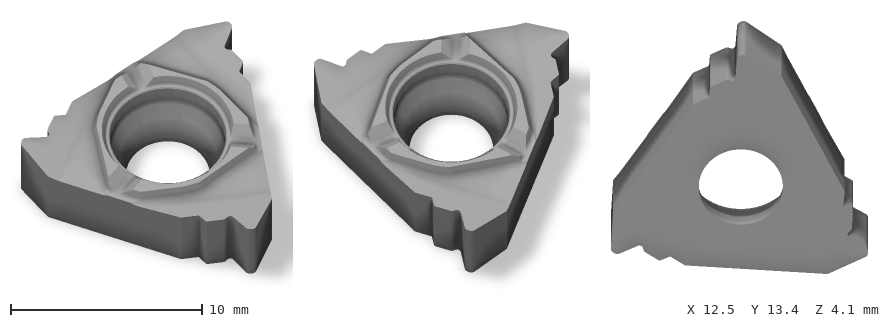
import cadquery as cq
import math

CORNERS = 3
CORNER_STEP = 360 / CORNERS

top_z = 4.1
floor_z = 3.52
ledge_z = 3.61

inscribed_radius = 9.525 / 2
flank_angle = 59.3

flank_start_y = 4.87
tip_y = 6.89
tip_width = 0.39
tip_radius = 0.27
crest_y = 5.945
groove_bottom_y = 5.62
groove_crest_x = -2.13
step_crest_x = -1.122
step_y = 5.426
groove_radius = 0.20
groove_crest_radius = 0.30
crest_radius = 0.10

ramp_start_y = 4.285
ramp_angle = 10
ramp_blend_length = 0.036

wall_draft = 23
boss_radius = 3.74
boss_side_distance = 3.63
boss_side_angle = 122.1
boss_foot_radius = 0.33
boss_kink_radius = 0.4

trim_distance = 4.25
small_foot_radius = 0.2

notch_angle = 45.8
notch_half_top = 0.75
notch_half_floor = 0.125
notch_blend_radius = 0.29

rim_radius = 3.455
seat_top_radius = 3.05
seat_bottom_radius = 2.99
seat_bottom_z = 2.64
bowl_radius = 2.87
bowl_z = 2.36
bore_z = 0.3
bore_radius = 2.2

reach = 9.0
notch_start = 2.5
pick_half_width = 8.0
pick_tolerance = 0.01


def turned(shape, index):
    """Copy of a shape moved to another corner of the insert."""
    return shape.rotate((0, 0, 0), (0, 0, 1), index * CORNER_STEP)


def turned_point(point, index):
    """(x, y) moved to another corner of the insert."""
    angle = math.radians(index * CORNER_STEP)
    x, y = point
    return (x * math.cos(angle) - y * math.sin(angle), x * math.sin(angle) + y * math.cos(angle))


def tooth_profile():
    """Sharp corner points of one tooth, clockwise, each with its rounding radius."""
    slope = math.tan(math.radians(flank_angle))
    tip_left_x = -inscribed_radius + (tip_y - flank_start_y) / slope
    tip_right_x = tip_left_x + tip_width
    groove_x = tip_right_x + (tip_y - groove_bottom_y) / slope
    step_x = step_crest_x + (crest_y - step_y) / slope
    side_angle = math.radians(180 / CORNERS)
    step_end_x = (inscribed_radius - step_y * math.sin(side_angle)) / math.cos(side_angle)
    return [
        ((-inscribed_radius, flank_start_y), 0),
        ((tip_left_x, tip_y), tip_radius),
        ((tip_right_x, tip_y), tip_radius),
        ((groove_x, groove_bottom_y), groove_radius),
        ((groove_crest_x, crest_y), groove_crest_radius),
        ((step_crest_x, crest_y), crest_radius),
        ((step_x, step_y), crest_radius),
        ((step_end_x, step_y), 0),
    ]


def make_prism():
    """Upright body with the three toothed corners; later corners follow clockwise."""
    corners = []
    for index in range(CORNERS):
        for point, radius in tooth_profile():
            corners.append((turned_point(point, -index), radius))
    prism = cq.Workplane("XY").polyline([point for point, _ in corners]).close().extrude(top_z)
    for (x, y), radius in corners:
        if radius > 0:
            edge = cq.selectors.NearestToPointSelector((x, y, top_z / 2))
            prism = prism.edges("|Z").edges(edge).fillet(radius)
    return prism


def make_boss():
    """Six-sided drafted boss standing on oversize floor stock, with a filleted foot."""
    spread = (top_z - floor_z) * math.tan(math.radians(wall_draft))
    radius = boss_radius + spread
    side_distance = boss_side_distance + spread
    side_angle = math.radians(boss_side_angle)

    kink_angle = side_angle - math.acos(side_distance / radius)
    mid_angle = (math.pi / 2 + kink_angle) / 2
    kink = (radius * math.cos(kink_angle), radius * math.sin(kink_angle))
    middle = (radius * math.cos(mid_angle), radius * math.sin(mid_angle))

    side_at_next = side_angle - math.radians(CORNER_STEP)
    sharp = ((side_distance - radius * math.sin(side_at_next)) / math.cos(side_at_next), radius)

    outline = cq.Workplane("XY").workplane(offset=floor_z).moveTo(*sharp)
    for index in range(CORNERS):
        outline = outline.lineTo(*turned_point((0, radius), index))
        outline = outline.threePointArc(turned_point(middle, index), turned_point(kink, index))
        if index < CORNERS - 1:
            outline = outline.lineTo(*turned_point(sharp, index + 1))
    boss = outline.close().extrude(top_z - floor_z, taper=wall_draft)
    for index in range(CORNERS):
        x, y = turned_point(kink, index)
        edge = cq.selectors.NearestToPointSelector((x, y, (floor_z + top_z) / 2))
        boss = boss.edges("not #Z").edges(edge).fillet(boss_kink_radius)

    stock = cq.Workplane("XY").circle(reach).extrude(floor_z)
    foot = cq.selectors.BoxSelector(
        (-pick_half_width, -pick_half_width, floor_z - pick_tolerance),
        (pick_half_width, pick_half_width, floor_z + pick_tolerance),
        boundingbox=True,
    )
    return stock.union(boss).edges(foot).fillet(boss_foot_radius)


def drafted_wall(start_r, direction):
    """Top, tangent, arc middle and foot (r, z) of a drafted wall from top_z to ledge_z."""
    turn = math.radians(90 - wall_draft)
    blend_height = small_foot_radius * (1 - math.cos(turn))
    blend_width = small_foot_radius * math.sin(turn)
    wall_height = top_z - ledge_z - blend_height
    wall_width = wall_height * math.tan(math.radians(wall_draft))
    tangent_r = start_r + direction * wall_width
    foot_r = tangent_r + direction * blend_width
    middle_r = foot_r - direction * small_foot_radius * math.sin(turn / 2)
    middle_z = ledge_z + small_foot_radius * (1 - math.cos(turn / 2))
    return (
        (start_r, top_z),
        (tangent_r, ledge_z + blend_height),
        (middle_r, middle_z),
        (foot_r, ledge_z),
    )


def make_trim_cutter():
    """Cutter that trims the boss corner beside the -X side of the body."""
    top, tangent, middle, foot = drafted_wall(trim_distance, 1)
    profile = [(-r, z) for r, z in (top, tangent, middle, foot)]
    return (
        cq.Workplane("XZ")
        .moveTo(*profile[0])
        .lineTo(*profile[1])
        .threePointArc(profile[2], profile[3])
        .lineTo(-reach, ledge_z)
        .lineTo(-reach, top_z)
        .close()
        .extrude(reach, both=True)
    )


def make_notch_cutter():
    """Radial V-shaped channel with a narrow floor, blended along its bottom."""
    profile = [
        (-notch_half_top, top_z),
        (-notch_half_floor, ledge_z),
        (notch_half_floor, ledge_z),
        (notch_half_top, top_z),
    ]
    channel = (
        cq.Workplane("YZ").workplane(offset=notch_start)
        .polyline(profile).close().extrude(reach - notch_start)
        .edges("|X and <Z").fillet(notch_blend_radius)
    )
    return channel.rotate((0, 0, 0), (0, 0, 1), notch_angle)


def make_ramp():
    """Wedge rising to the +Y tip, blended into the floor at its start."""
    angle = math.radians(ramp_angle)
    blend_start_y = ramp_start_y - ramp_blend_length
    blend_end = (
        ramp_start_y + ramp_blend_length * math.cos(angle),
        floor_z + ramp_blend_length * math.sin(angle),
    )
    return (
        cq.Workplane("YZ")
        .moveTo(0, floor_z)
        .lineTo(blend_start_y, floor_z)
        .tangentArcPoint(blend_end, relative=False)
        .lineTo(reach, floor_z + (reach - ramp_start_y) * math.tan(angle))
        .lineTo(reach, 0)
        .lineTo(0, 0)
        .close()
        .extrude(reach, both=True)
    )


def make_hole_cutter():
    """Stepped screw hole: drafted rim, ledge, seat, rounded bowl and bore."""
    top, tangent, middle, foot = drafted_wall(rim_radius, -1)
    edge_break = foot[0] - seat_top_radius
    slope = 2 * math.atan((bowl_radius - bore_radius) / (bowl_z - bore_z))
    bowl_round = (bowl_z - bore_z) / math.sin(slope)
    bowl_middle = (
        bore_radius + bowl_round * (1 - math.cos(slope / 2)),
        bore_z + bowl_round * math.sin(slope / 2),
    )
    return (
        cq.Workplane("XZ")
        .moveTo(0, top_z)
        .lineTo(*top)
        .lineTo(*tangent)
        .threePointArc(middle, foot)
        .lineTo(seat_top_radius, ledge_z - edge_break)
        .lineTo(seat_bottom_radius, seat_bottom_z)
        .tangentArcPoint((bowl_radius, bowl_z), relative=False)
        .threePointArc(bowl_middle, (bore_radius, bore_z))
        .lineTo(bore_radius, 0)
        .lineTo(0, 0)
        .close()
        .revolve(360, (0, 0, 0), (0, 1, 0))
    )


blank = make_boss()
trim_cutter = make_trim_cutter()
notch_cutter = make_notch_cutter()
ramp = make_ramp()
for corner in range(CORNERS):
    blank = blank.cut(turned(trim_cutter, corner))
    blank = blank.cut(turned(notch_cutter, corner))
for corner in range(CORNERS):
    blank = blank.union(turned(ramp, corner))

result = blank.intersect(make_prism()).cut(make_hole_cutter())